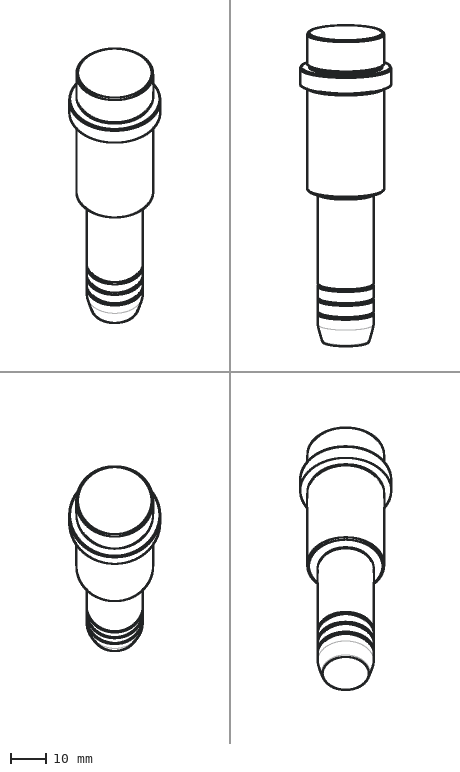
import cadquery as cq

length = 90.0
flange_radius = 26.0 / 2
body_radius = 22.0 / 2
stem_radius = 16.0 / 2

edge = 0.5

head_bottom = 81.0
flange_top = 80.0
flange_bottom = 75.0
flange_edge_width = 0.3
body_bottom = 44.0
neck_bottom = 43.0

groove_count = 3
groove_pitch = 4.05
lowest_groove_center = 8.5
groove_half_height = 0.405

nose_height = 5.0
nose_end_radius = 6.8
nose_bulge = 0.1
tip_radius = 6.6


def revolve_profile():
    """Solid pin with head, flange, body, neck, stem and nose."""
    relief_radius = body_radius - edge
    nose_middle = ((nose_end_radius + stem_radius) / 2 + nose_bulge, (edge + nose_height) / 2)
    profile = (
        cq.Workplane("XZ")
        .moveTo(0, 0)
        .lineTo(tip_radius, 0)
        .lineTo(nose_end_radius, edge)
        .threePointArc(nose_middle, (stem_radius, nose_height))
        .lineTo(stem_radius, neck_bottom)
        .lineTo(stem_radius - edge, neck_bottom)
        .lineTo(stem_radius - edge, body_bottom)
        .lineTo(body_radius - edge, body_bottom)
        .lineTo(body_radius, body_bottom + edge)
        .lineTo(body_radius, flange_bottom - 2 * edge)
        .lineTo(relief_radius, flange_bottom - edge)
        .lineTo(relief_radius, flange_bottom)
        .lineTo(flange_radius, flange_bottom)
        .lineTo(flange_radius, flange_top - edge)
        .lineTo(flange_radius - flange_edge_width, flange_top)
        .lineTo(relief_radius, flange_top)
        .lineTo(relief_radius, head_bottom - edge)
        .lineTo(body_radius, head_bottom)
        .lineTo(body_radius, length - edge)
        .lineTo(body_radius - edge, length)
        .lineTo(0, length)
        .close()
    )
    return profile.revolve(360, (0, 0, 0), (0, 1, 0))


def stem_groove(center):
    """Ring with a V section, cut into the stem at the given height."""
    section = cq.Workplane("XZ").polyline([
        (stem_radius - edge, center),
        (stem_radius, center + groove_half_height),
        (stem_radius + edge, center + groove_half_height),
        (stem_radius + edge, center - groove_half_height),
        (stem_radius, center - groove_half_height),
    ])
    return section.close().revolve(360, (0, 0, 0), (0, 1, 0))


result = revolve_profile()
for index in range(groove_count):
    result = result.cut(stem_groove(lowest_groove_center + index * groove_pitch))